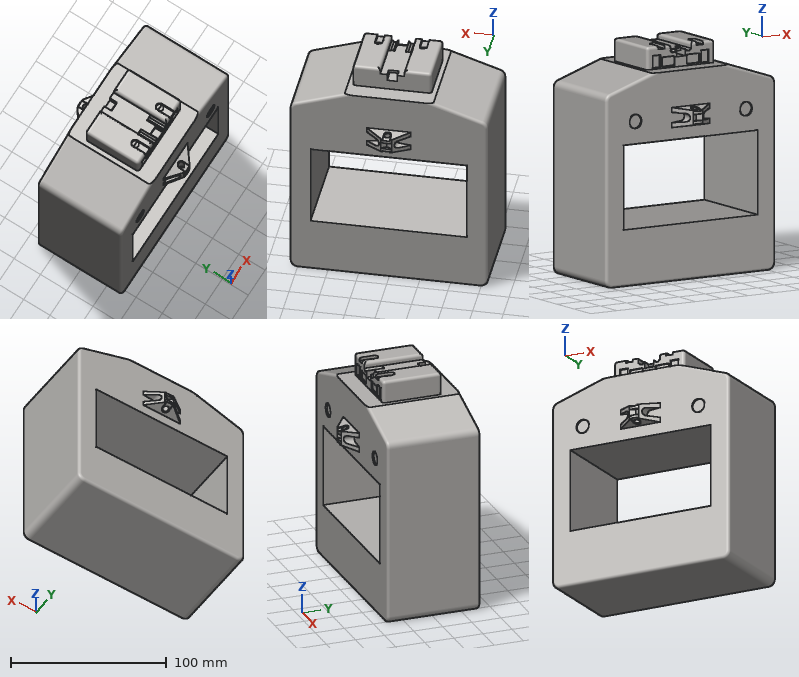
import cadquery as cq

WIDTH = 129.0
DEPTH = 64.0
TOTAL_HEIGHT = 152.0
HOUSING_HEIGHT = 137.3
TOP_FLAT_WIDTH = 58.0
SHOULDER_HEIGHT = 125.5
CORNER_RADIUS = 5.0
EDGE_RADIUS = 2.0
OPENING_WIDTH = 102.1
OPENING_BOTTOM = 37.2
OPENING_HEIGHT = 55.2

MARKER_DIAMETER = 9.1
MARKER_DEPTH = 1.0
MARKER_OFFSET = 42.1
MARKER_HEIGHT = 107.2

BLOCK_WIDTH = 51.4
BLOCK_DEPTH = 40.3
CHANNEL_WIDTH = 15.7
CHANNEL_FLOOR = 148.2
NOTCH_WIDTH = 6.5
NOTCH_LENGTH = 5.3
NOTCH_FLOOR = 143.8
TUNNEL_ROOF = 146.5
GROOVE_OFFSET = 5.6
GROOVE_TOP_WIDTH = 4.3
GROOVE_FLOOR_WIDTH = 1.7
GROOVE_DEPTH = 1.4
GROOVE_LENGTH = 12.2
WINDOW_OFFSET = 18.4
WINDOW_WIDTH = 6.0
WINDOW_BOTTOM = 138.0
WINDOW_TOP = 146.0
WINDOW_DEPTH = 1.5
LABEL_OFFSET = 9.5
LABEL_WIDTH = 9.7
LABEL_HEIGHT = 6.1
LABEL_MIDDLE = 141.4
LABEL_CORNER_RADIUS = 0.9
LABEL_DEPTH = 1.0

SLOT_OFFSET = 14.6
SLOT_WIDTH = 4.9
SLOT_LENGTH = 12.0
SLOT_DEPTH = 2.1
SCREW_LENGTH = 4.5
SCREW_STEP = 0.5

LUG_REACH = 9.1
LUG_MIDDLE = 107.0
LUG_ROOT_HALF_WIDTH = 14.5
LUG_ROOT_HALF_HEIGHT = 6.5
LUG_TIP_HALF_WIDTH = 3.5
LUG_TIP_HALF_HEIGHT = 4.7
LUG_TIP_BULGE = 0.6
SIDE_CUT_MOUTH_HALF_HEIGHT = 3.3
SIDE_CUT_NOSE_RADIUS = 2.7
SIDE_CUT_END = 5.0
WIRE_HOLE_DIAMETER = 4.0
WIRE_HOLE_REACH = 4.4
WIRE_GROOVE_WIDTH = 4.9
WIRE_GROOVE_DEPTH = 0.6
VEE_HEIGHT = 4.3
VEE_DEPTH = 2.0

SIDES = (-1, 1)
HOUSING_FRONT = -DEPTH / 2
BLOCK_FRONT = -BLOCK_DEPTH / 2
SCREW_Y = BLOCK_FRONT + SLOT_LENGTH - SLOT_WIDTH / 2
SLOT_FLOOR = TOTAL_HEIGHT - SLOT_DEPTH


def box(x_size, y_start, y_end, z_start, z_end, x_middle=0.0):
    """Box centred on x_middle, between the given Y and Z limits."""
    return (
        cq.Workplane("XY")
        .box(x_size, y_end - y_start, z_end - z_start, centered=(True, False, False))
        .translate((x_middle, y_start, z_start))
    )


def make_housing():
    half_width = WIDTH / 2
    roof_slope = (HOUSING_HEIGHT - SHOULDER_HEIGHT) / (half_width - TOP_FLAT_WIDTH / 2)
    ridge_height = SHOULDER_HEIGHT + roof_slope * half_width
    body = (
        cq.Workplane("XZ")
        .polyline([
            (-half_width, 0),
            (half_width, 0),
            (half_width, SHOULDER_HEIGHT),
            (0, ridge_height),
            (-half_width, SHOULDER_HEIGHT),
        ])
        .close()
        .extrude(DEPTH / 2, both=True)
    )
    body = body.edges("|Y").edges("<X or >X").fillet(CORNER_RADIUS)
    body = body.faces("<Y or >Y").edges().fillet(EDGE_RADIUS)
    above_flat_top = box(WIDTH, -DEPTH, DEPTH, HOUSING_HEIGHT, ridge_height + 1.5)
    opening_top = OPENING_BOTTOM + OPENING_HEIGHT
    opening = box(OPENING_WIDTH, -DEPTH, DEPTH, OPENING_BOTTOM, opening_top)
    body = body.cut(above_flat_top).cut(opening)
    for side in SIDES:
        marker = (
            cq.Workplane("XZ", origin=(side * MARKER_OFFSET, HOUSING_FRONT, MARKER_HEIGHT))
            .circle(MARKER_DIAMETER / 2)
            .extrude(-MARKER_DEPTH)
        )
        body = body.cut(marker)
    return body


def strap_path():
    """Notches at the front and rear of the channel, joined by a tunnel."""
    path = box(NOTCH_WIDTH, -BLOCK_DEPTH, BLOCK_DEPTH, NOTCH_FLOOR, TUNNEL_ROOF)
    rear = -BLOCK_FRONT
    path = path.union(box(NOTCH_WIDTH, BLOCK_FRONT, BLOCK_FRONT + NOTCH_LENGTH, NOTCH_FLOOR, TOTAL_HEIGHT))
    return path.union(box(NOTCH_WIDTH, rear - NOTCH_LENGTH, rear, NOTCH_FLOOR, TOTAL_HEIGHT))


def channel_groove(side):
    """Groove with sloping walls in the channel floor, open at the front."""
    return (
        cq.Workplane("XZ", origin=(side * GROOVE_OFFSET, BLOCK_FRONT, CHANNEL_FLOOR))
        .polyline([
            (-GROOVE_TOP_WIDTH / 2, 0),
            (-GROOVE_FLOOR_WIDTH / 2, -GROOVE_DEPTH),
            (GROOVE_FLOOR_WIDTH / 2, -GROOVE_DEPTH),
            (GROOVE_TOP_WIDTH / 2, 0),
        ])
        .close()
        .extrude(-GROOVE_LENGTH)
    )


def front_window(side):
    return box(
        WINDOW_WIDTH, BLOCK_FRONT, BLOCK_FRONT + WINDOW_DEPTH, WINDOW_BOTTOM, WINDOW_TOP, side * WINDOW_OFFSET
    )


def label_recess(side):
    return (
        cq.Workplane("XZ", origin=(side * LABEL_OFFSET, BLOCK_FRONT, LABEL_MIDDLE))
        .rect(LABEL_WIDTH, LABEL_HEIGHT)
        .extrude(-LABEL_DEPTH)
        .edges("|Y")
        .fillet(LABEL_CORNER_RADIUS)
    )


def screw_slot(side):
    """Slot from the front to the screw, with a round rear end."""
    x_middle = side * SLOT_OFFSET
    slot = box(SLOT_WIDTH, BLOCK_FRONT, SCREW_Y, SLOT_FLOOR, TOTAL_HEIGHT, x_middle)
    round_end = (
        cq.Workplane("XY", origin=(x_middle, SCREW_Y, SLOT_FLOOR - SCREW_LENGTH))
        .circle(SLOT_WIDTH / 2)
        .extrude(SCREW_LENGTH + SLOT_DEPTH)
    )
    return slot.union(round_end)


def make_terminal_block():
    block = box(BLOCK_WIDTH, BLOCK_FRONT, -BLOCK_FRONT, HOUSING_HEIGHT, TOTAL_HEIGHT)
    block = block.edges("|Z").fillet(EDGE_RADIUS)
    block = block.cut(box(CHANNEL_WIDTH, -BLOCK_DEPTH, BLOCK_DEPTH, CHANNEL_FLOOR, TOTAL_HEIGHT))
    block = block.faces(">Z").edges().fillet(EDGE_RADIUS)
    block = block.cut(strap_path())
    for side in SIDES:
        block = block.cut(channel_groove(side)).cut(front_window(side))
        block = block.cut(label_recess(side)).cut(screw_slot(side))
    return block


def make_screw(side):
    """Screw filling the hole under the slot, its head stepped across the middle."""
    x_middle = side * SLOT_OFFSET
    shank = (
        cq.Workplane("XY", origin=(x_middle, SCREW_Y, SLOT_FLOOR - SCREW_LENGTH))
        .circle(SLOT_WIDTH / 2)
        .extrude(SCREW_LENGTH)
    )
    step = box(SLOT_WIDTH, SCREW_Y, SCREW_Y + SLOT_WIDTH, SLOT_FLOOR - SCREW_STEP, SLOT_FLOOR, x_middle)
    return shank.cut(step)


def lug_taper(inset):
    """Wedge between the lug's sloping upper and lower faces, each moved inwards by the inset."""
    root_half_height = LUG_ROOT_HALF_HEIGHT - inset
    tip_half_height = LUG_TIP_HALF_HEIGHT - inset
    tip_y = HOUSING_FRONT - LUG_REACH
    return (
        cq.Workplane("YZ")
        .polyline([
            (HOUSING_FRONT, -root_half_height),
            (tip_y, -tip_half_height),
            (tip_y, tip_half_height),
            (HOUSING_FRONT, root_half_height),
        ])
        .close()
        .extrude(LUG_ROOT_HALF_WIDTH, both=True)
    )


def lug_blank():
    """Plan outline of the lug, trimmed above and below so that it thins towards the tip."""
    shoulder_y = HOUSING_FRONT - (LUG_REACH - LUG_TIP_BULGE)
    tip_y = HOUSING_FRONT - LUG_REACH
    plan = (
        cq.Workplane("XY")
        .moveTo(-LUG_ROOT_HALF_WIDTH, HOUSING_FRONT)
        .lineTo(-LUG_TIP_HALF_WIDTH, shoulder_y)
        .threePointArc((0, tip_y), (LUG_TIP_HALF_WIDTH, shoulder_y))
        .lineTo(LUG_ROOT_HALF_WIDTH, HOUSING_FRONT)
        .close()
        .extrude(LUG_ROOT_HALF_HEIGHT, both=True)
    )
    return plan.intersect(lug_taper(0))


def lug_side_cut(side):
    """Cut along Y that narrows inwards to a round nose and opens at the lug's side."""
    nose_x = SIDE_CUT_END + SIDE_CUT_NOSE_RADIUS
    return (
        cq.Workplane("XZ", origin=(0, HOUSING_FRONT, 0))
        .moveTo(side * LUG_ROOT_HALF_WIDTH, SIDE_CUT_MOUTH_HALF_HEIGHT)
        .lineTo(side * nose_x, SIDE_CUT_NOSE_RADIUS)
        .threePointArc((side * SIDE_CUT_END, 0), (side * nose_x, -SIDE_CUT_NOSE_RADIUS))
        .lineTo(side * LUG_ROOT_HALF_WIDTH, -SIDE_CUT_MOUTH_HALF_HEIGHT)
        .close()
        .extrude(LUG_REACH)
    )


def lug_wire_cuts():
    """Upright wire hole, round-ended grooves from it to the tip above and below, and a vee in the tip."""
    hole_y = HOUSING_FRONT - WIRE_HOLE_REACH
    tip_y = HOUSING_FRONT - LUG_REACH
    shoulder_y = tip_y + LUG_TIP_BULGE
    hole = (
        cq.Workplane("XY", origin=(0, hole_y, 0))
        .circle(WIRE_HOLE_DIAMETER / 2)
        .extrude(LUG_ROOT_HALF_HEIGHT, both=True)
    )
    grooves = box(WIRE_GROOVE_WIDTH, tip_y, hole_y, -LUG_ROOT_HALF_HEIGHT, LUG_ROOT_HALF_HEIGHT)
    grooves_round_end = (
        cq.Workplane("XY", origin=(0, hole_y, 0))
        .circle(WIRE_GROOVE_WIDTH / 2)
        .extrude(LUG_ROOT_HALF_HEIGHT, both=True)
    )
    grooves = grooves.union(grooves_round_end).cut(lug_taper(WIRE_GROOVE_DEPTH))
    vee = (
        cq.Workplane("XY")
        .polyline([
            (-LUG_TIP_HALF_WIDTH, shoulder_y),
            (0, shoulder_y + VEE_DEPTH),
            (LUG_TIP_HALF_WIDTH, shoulder_y),
            (LUG_TIP_HALF_WIDTH, tip_y),
            (-LUG_TIP_HALF_WIDTH, tip_y),
        ])
        .close()
        .extrude(VEE_HEIGHT / 2, both=True)
    )
    return [hole, grooves, vee]


def make_lug(turn):
    """Seal lug on the front face, carried round the Z axis by the given turn in degrees."""
    lug = lug_blank()
    for cutter in lug_wire_cuts() + [lug_side_cut(side) for side in SIDES]:
        lug = lug.cut(cutter)
    return lug.translate((0, 0, LUG_MIDDLE)).rotate((0, 0, 0), (0, 0, 1), turn)


housing = make_housing()
terminal_block = make_terminal_block()
screws = [make_screw(side) for side in SIDES]
lugs = [make_lug(turn) for turn in (0, 180)]

result = cq.Compound.makeCompound([
    *housing.solids().vals(),
    *terminal_block.solids().vals(),
    *[screw.solids().val() for screw in screws],
    *[lug.solids().val() for lug in lugs],
])